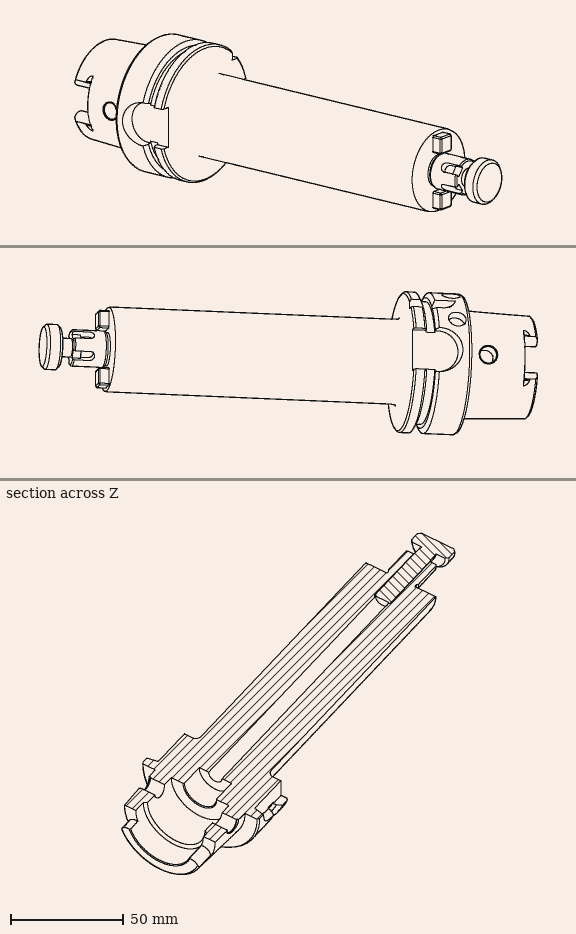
import cadquery as cq
import math

overall_length = 221.0

flange_start = 32.0
mouth_radius = 23.0
taper_large_radius = 24.3
mouth_chamfer = 0.9
bore_mouth_radius = 17.0
bore_mouth_chamfer = 0.5
bore_radius = 15.5
bore_cone_start = 12.2
bore_cone_end = 13.3
pull_stud_radius = 8.6
pull_stud_chamfer = 0.5
pull_stud_depth = 44.2
coolant_radius = 3.5
cross_hole_x = 23.0
cross_hole_radius = 3.8
cross_hole_mouth_radius = 4.2
cross_hole_mouth_floor = 23.2

drive_slot_width = 12.2
drive_slot_opening = 19.5
front_slot_length = 9.7
back_slot_length = 6.2
relief_radius = 3.3
relief_floor = 19.5
relief_inner_z = 10.2

flange_diameter = 63.0
flange_radius = flange_diameter / 2
front_edge_drop = 0.7
front_edge_length = 1.0
groove_radius = 27.5
groove_start = 48.0
groove_end = 52.0
groove_shoulder_radius = 29.2
groove_bevel = 1.3
flange_end = 58.0
rear_edge_chamfer = 0.9

key_slot_half_width = 9.3
key_slot_floor = 26.0
key_slot_center_x = 46.6
key_slot_flare = 1.0

notch_wall_y = 19.7
notch_floor_z = 20.3
notch_round_x = 43.7
notch_radius = 7.0
pocket_x = 38.0
pocket_radius = 4.0
pocket_depth = 4.2
pocket_tilts = (26.0, 62.0)

arbor_radius = 19.0
arbor_end = 191.8
arbor_fillet = 2.9
arbor_edge_length = 1.3
arbor_edge_drop = 0.2

spigot_radius = 8.2
spigot_end = 208.4
spigot_chamfer = 0.7
undercut_width = 2.0
undercut_radius = 7.5
coolant_slot_start = 198.9
coolant_slot_step = 204.5
coolant_slot_width = 4.5
coolant_slot_floor = 6.0
coolant_pocket_floor = 4.9
coolant_slot_tilt = 37.0

key_width = 8.0
key_inner_z = 9.0
key_outer_z = 17.0
key_end = 196.5
key_seat_depth = 4.5
key_chamfer = 0.7

screw_radius = 4.2
neck_radius = 4.0
screw_start = 176.8
neck_start = 212.8
head_start = 213.7
head_radius = 10.2
head_chamfer = 1.3


def revolve_about_x(outline):
    return outline.close().revolve(360, (0, 0, 0), (1, 0, 0))


def x_cylinder(start, end, radius):
    return cq.Workplane("YZ", origin=(start, 0, 0)).circle(radius).extrude(end - start)


def box_between(low, high):
    size = [high[i] - low[i] for i in range(3)]
    return cq.Workplane("XY").box(*size, centered=False).translate(low)


def half_turn(shape):
    return shape.rotate((0, 0, 0), (1, 0, 0), 180)


def make_outer_body():
    edge_radius = arbor_radius - arbor_edge_drop
    outline = (
        cq.Workplane("XY")
        .lineTo(0, mouth_radius - mouth_chamfer)
        .lineTo(mouth_chamfer, mouth_radius)
        .lineTo(flange_start, taper_large_radius)
        .lineTo(flange_start, flange_radius - front_edge_drop)
        .lineTo(flange_start + front_edge_length, flange_radius)
        .lineTo(groove_start - groove_bevel, flange_radius)
        .lineTo(groove_start, groove_shoulder_radius)
        .lineTo(groove_start, groove_radius)
        .lineTo(groove_end, groove_radius)
        .lineTo(groove_end, groove_shoulder_radius)
        .lineTo(groove_end + groove_bevel, flange_radius)
        .lineTo(flange_end - rear_edge_chamfer, flange_radius)
        .lineTo(flange_end, flange_radius - rear_edge_chamfer)
        .lineTo(flange_end, arbor_radius + arbor_fillet)
        .radiusArc((flange_end + arbor_fillet, arbor_radius), -arbor_fillet)
        .lineTo(arbor_end - arbor_edge_length, arbor_radius)
        .lineTo(arbor_end, edge_radius)
        .lineTo(arbor_end, undercut_radius)
        .lineTo(arbor_end + undercut_width / 2, undercut_radius)
        .lineTo(arbor_end + undercut_width, spigot_radius)
        .lineTo(spigot_end - spigot_chamfer, spigot_radius)
        .lineTo(spigot_end, spigot_radius - spigot_chamfer)
        .lineTo(spigot_end, 0)
    )
    return revolve_about_x(outline)


def make_bore():
    """Shank bore, pull stud hole, coolant hole and screw hole along the axis."""
    outline = (
        cq.Workplane("XY")
        .lineTo(0, bore_mouth_radius + bore_mouth_chamfer)
        .lineTo(bore_mouth_chamfer, bore_mouth_radius)
        .lineTo(bore_cone_start, bore_mouth_radius)
        .lineTo(bore_cone_end, bore_radius)
        .lineTo(flange_start, bore_radius)
        .lineTo(flange_start, pull_stud_radius + pull_stud_chamfer)
        .lineTo(flange_start + pull_stud_chamfer, pull_stud_radius)
        .lineTo(pull_stud_depth, pull_stud_radius)
        .lineTo(pull_stud_depth, coolant_radius)
        .lineTo(screw_start, coolant_radius)
        .lineTo(screw_start, screw_radius)
        .lineTo(spigot_end, screw_radius)
        .lineTo(spigot_end, 0)
    )
    return revolve_about_x(outline)


def make_cross_hole():
    """Hole through both shank walls along Y, with a shallow wider mouth outside each wall."""
    hole = (
        cq.Workplane("XZ", origin=(cross_hole_x, 0, 0))
        .circle(cross_hole_radius)
        .extrude(flange_radius, both=True)
    )
    mouth = (
        cq.Workplane("XZ", origin=(cross_hole_x, -cross_hole_mouth_floor, 0))
        .circle(cross_hole_mouth_radius)
        .extrude(flange_radius - cross_hole_mouth_floor)
    )
    return hole.union(mouth).union(half_turn(mouth))


def make_drive_slot(length):
    """Mouth slot on the -Y side with rounded outer edges and side reliefs at its end."""
    half = drive_slot_width / 2
    outer_half = drive_slot_opening / 2
    edge_end = math.sqrt(mouth_radius**2 - outer_half**2)
    edge_round = outer_half - half
    edge_start = edge_end - edge_round
    slot = (
        cq.Workplane("YZ")
        .moveTo(0, -half)
        .lineTo(-edge_start, -half)
        .radiusArc((-edge_end, -outer_half), -edge_round)
        .lineTo(-flange_radius, -outer_half)
        .lineTo(-flange_radius, outer_half)
        .lineTo(-edge_end, outer_half)
        .radiusArc((-edge_start, half), -edge_round)
        .lineTo(0, half)
        .close()
        .extrude(length)
    )
    relief_center_y = -relief_floor - relief_radius
    relief = (
        cq.Workplane("XY")
        .moveTo(length, -relief_floor)
        .radiusArc((length - relief_radius, relief_center_y), -relief_radius)
        .lineTo(length - relief_radius, -flange_radius)
        .lineTo(length, -flange_radius)
        .close()
        .extrude(mouth_radius - relief_inner_z)
    )
    upper_relief = relief.translate((0, 0, relief_inner_z))
    return slot.union(upper_relief).union(upper_relief.mirror("XY"))


def make_key_slot():
    """Flange slot on the -Y side with a flared round end, open to the rear."""
    depth = flange_radius - key_slot_floor
    flare_angle = math.degrees(math.atan2(key_slot_flare, depth))
    round_end = (
        cq.Workplane("XZ", origin=(key_slot_center_x, -key_slot_floor, 0))
        .circle(key_slot_half_width)
        .extrude(depth, taper=-flare_angle)
    )
    straight = box_between(
        (key_slot_center_x, -flange_radius, -key_slot_half_width),
        (flange_end, -key_slot_floor, key_slot_half_width),
    )
    return round_end.union(straight)


def make_orientation_notch():
    """Rounded notch on the +Y, +Z side of the flange, open to the rear."""
    return (
        cq.Workplane("XZ", origin=(0, flange_radius, 0))
        .moveTo(flange_end, notch_floor_z)
        .lineTo(notch_round_x, notch_floor_z)
        .radiusArc((notch_round_x - notch_radius, notch_floor_z + notch_radius), notch_radius)
        .lineTo(notch_round_x - notch_radius, flange_radius)
        .lineTo(flange_end, flange_radius)
        .close()
        .extrude(flange_radius - notch_wall_y)
    )


def make_round_pocket(angle):
    """Radial flat-bottomed pocket, tilted from +Z toward +Y."""
    pocket = (
        cq.Workplane("XY", origin=(pocket_x, 0, flange_radius - pocket_depth))
        .circle(pocket_radius)
        .extrude(flange_radius)
    )
    return pocket.rotate((0, 0, 0), (1, 0, 0), -angle)


def make_coolant_slot(angle):
    """Stepped slot along the spigot; the angle turns it about X from the +Y side."""
    half = coolant_slot_width / 2
    slot = box_between(
        (coolant_slot_step, coolant_slot_floor, -half),
        (spigot_end, arbor_radius, half),
    )
    pocket_center_x = coolant_slot_start + half
    pocket_end = (
        cq.Workplane("XZ", origin=(pocket_center_x, coolant_pocket_floor, 0))
        .circle(half)
        .extrude(coolant_pocket_floor - arbor_radius)
    )
    pocket = box_between(
        (pocket_center_x, coolant_pocket_floor, -half),
        (coolant_slot_step, arbor_radius, half),
    )
    return slot.union(pocket).union(pocket_end).rotate((0, 0, 0), (1, 0, 0), angle)


def make_key_block():
    """Key-shaped block with its long edges chamfered, used for the key and for its seat."""
    block = box_between(
        (arbor_end - key_seat_depth, -key_width / 2, key_inner_z),
        (key_end, key_width / 2, key_outer_z),
    )
    return block.edges("|X").chamfer(key_chamfer)


def make_holder():
    holder = make_outer_body().cut(make_bore()).cut(make_cross_hole())
    holder = holder.cut(make_drive_slot(front_slot_length))
    holder = holder.cut(half_turn(make_drive_slot(back_slot_length)))
    holder = holder.cut(make_key_slot()).cut(half_turn(make_key_slot()))
    holder = holder.cut(make_orientation_notch())
    for angle in pocket_tilts:
        holder = holder.cut(make_round_pocket(angle))
    for side in (0, 180):
        for tilt in (coolant_slot_tilt, -coolant_slot_tilt):
            holder = holder.cut(make_coolant_slot(side + tilt))
    return holder.cut(make_key_block()).cut(half_turn(make_key_block()))


def make_drive_key():
    """Key on the +Z side with its front face chamfered."""
    return make_key_block().faces(">X").chamfer(key_chamfer)


def make_clamping_screw():
    """Screw in the spigot with a short neck under its disc head."""
    shank = x_cylinder(screw_start, neck_start, screw_radius)
    neck = x_cylinder(neck_start, head_start, neck_radius)
    head = x_cylinder(head_start, overall_length, head_radius).edges().chamfer(head_chamfer)
    return shank.union(neck).union(head)


holder = make_holder()
drive_keys = [make_drive_key().rotate((0, 0, 0), (1, 0, 0), turn) for turn in (0, 180)]
clamping_screw = make_clamping_screw()

result = cq.Compound.makeCompound(
    [holder.val(), *(key.val() for key in drive_keys), clamping_screw.val()]
)